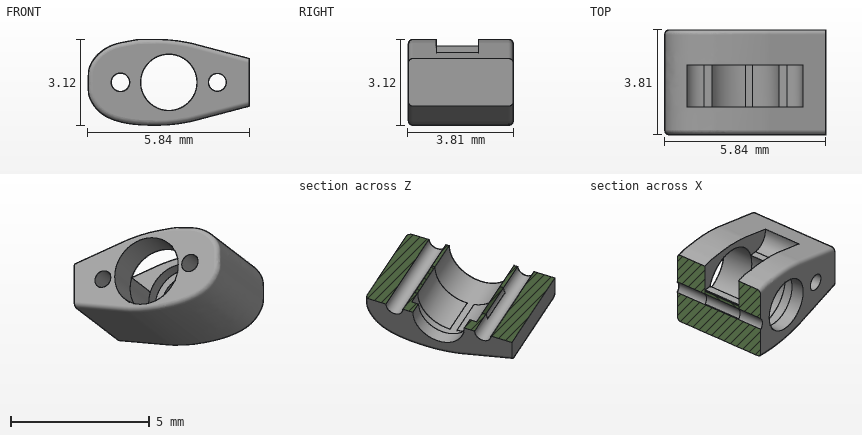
import cadquery as cq

LENGTH = 5.84
WIDTH = 3.81
HALF_HEIGHT = 1.56
EDGE_RADIUS = 0.175

NOSE_POINTS = [(0.04, 0.525), (0.245, 0.895), (0.65, 1.24), (1.175, 1.435), (1.625, 1.52)]
CREST_X = 2.445
CREST_MID = (3.05, 1.53)
CREST_END = (3.645, 1.435)
BLEND_MID = (3.755, 1.415)
TAPER_START = (3.865, 1.385)
TAIL_HALF_HEIGHT = 0.865

BORE_X = LENGTH / 2
BORE_RADIUS = 2.03 / 2
CHAMBER_RADIUS = 2.565 / 2
CHAMBER_INSET = 0.51

FRONT_HOLE_X = 1.17
FRONT_HOLE_DIAMETER = 0.66
REAR_HOLE_X = 4.68
REAR_HOLE_DIAMETER = 0.635

SLOT_START = 0.81
SLOT_END = 5.01
SLOT_WIDTH = 1.525
SLOT_NEAR_WALL = 1.015
SLOT_NEAR_Y = -WIDTH / 2 + SLOT_NEAR_WALL
SLOT_FAR_Y = SLOT_NEAR_Y + SLOT_WIDTH
SLOT_FLOOR = 0.415
SLOT_END_RADIUS = 0.585
SLOT_HEADROOM = 0.06

INSERT_HALF_SPAN = 1.5
INSERT_DEPTH = 1.43
RIB_START_X = BORE_X
RIB_WIDTH = 0.27
RIB_END_X = RIB_START_X + RIB_WIDTH
INSERT_SPANS = [(0, RIB_START_X), (RIB_END_X, LENGTH)]
INSERT_RISE = INSERT_DEPTH + SLOT_FLOOR
INSERT_OUTER_RADIUS = (INSERT_HALF_SPAN**2 + INSERT_RISE**2) / (2 * INSERT_RISE)


def mirrored(point):
    """Reflect an (X, Z) outline point across Z = 0."""
    x, z = point
    return (x, -z)


def body_blank():
    """Extruded teardrop with rounded rims, left sharp around the flat tail."""
    crest = (CREST_X, HALF_HEIGHT)
    upper_nose = NOSE_POINTS + [crest]
    lower_nose = [mirrored(point) for point in reversed(NOSE_POINTS)] + [(0, 0)]
    blank = (
        cq.Workplane("XZ")
        .moveTo(0, 0)
        .spline(upper_nose, tangents=[(0, 1), (1, 0)], includeCurrent=True)
        .threePointArc(CREST_MID, CREST_END)
        .threePointArc(BLEND_MID, TAPER_START)
        .lineTo(LENGTH, TAIL_HALF_HEIGHT)
        .lineTo(LENGTH, -TAIL_HALF_HEIGHT)
        .lineTo(*mirrored(TAPER_START))
        .threePointArc(mirrored(BLEND_MID), mirrored(CREST_END))
        .threePointArc(mirrored(CREST_MID), mirrored(crest))
        .spline(lower_nose, tangents=[(-1, 0), (0, 1)], includeCurrent=True)
        .close()
        .extrude(WIDTH)
        .translate((0, WIDTH / 2, 0))
    )
    rims = blank.faces("<Y or >Y").edges().filter(lambda edge: edge.Center().x < LENGTH - EDGE_RADIUS)
    return rims.fillet(EDGE_RADIUS)


def y_cylinder(x, z, radius, start_y, end_y):
    """Cylinder along Y between two Y positions."""
    return (
        cq.Workplane("XZ", origin=(x, start_y, z))
        .circle(radius)
        .extrude(start_y - end_y)
    )


def stepped_bore():
    """Narrow bore from the -Y face, opening into the wider chamber."""
    half_width = WIDTH / 2
    chamber_start = CHAMBER_INSET - half_width
    bore = y_cylinder(BORE_X, 0, BORE_RADIUS, -half_width, half_width)
    chamber = y_cylinder(BORE_X, 0, CHAMBER_RADIUS, chamber_start, half_width)
    return bore.union(chamber)


def cross_holes():
    """Plain round holes through the whole width, one on each side of the bore."""
    front = y_cylinder(FRONT_HOLE_X, 0, FRONT_HOLE_DIAMETER / 2, -WIDTH / 2, WIDTH / 2)
    rear = y_cylinder(REAR_HOLE_X, 0, REAR_HOLE_DIAMETER / 2, -WIDTH / 2, WIDTH / 2)
    return front.union(rear)


def top_slot():
    """Slot cutter reaching the top, rounded where its ends meet the floor."""
    slot_length = SLOT_END - SLOT_START
    slot_height = HALF_HEIGHT + SLOT_HEADROOM - SLOT_FLOOR
    return (
        cq.Workplane("XY")
        .box(slot_length, SLOT_WIDTH, slot_height, centered=False)
        .edges("|Y and <Z")
        .fillet(SLOT_END_RADIUS)
        .translate((SLOT_START, SLOT_NEAR_Y, SLOT_FLOOR))
    )


def bore_insert(start_x, end_x):
    """Curved liner under the slot floor, flush with the floor and the chamber wall."""
    outer_offset = INSERT_OUTER_RADIUS - INSERT_DEPTH
    outer = y_cylinder(BORE_X, outer_offset, INSERT_OUTER_RADIUS, SLOT_NEAR_Y, SLOT_FAR_Y)
    extent = (
        cq.Workplane("XY", origin=(start_x, SLOT_NEAR_Y, -HALF_HEIGHT))
        .box(end_x - start_x, SLOT_WIDTH, HALF_HEIGHT + SLOT_FLOOR, centered=False)
    )
    return outer.intersect(extent).cut(stepped_bore()).cut(cross_holes())


inserts = [bore_insert(start_x, end_x) for start_x, end_x in INSERT_SPANS]

housing = (
    body_blank()
    .cut(stepped_bore())
    .cut(top_slot())
    .cut(cross_holes())
)
for insert in inserts:
    housing = housing.cut(insert)

result = cq.Compound.makeCompound([housing.val(), *[insert.val() for insert in inserts]])